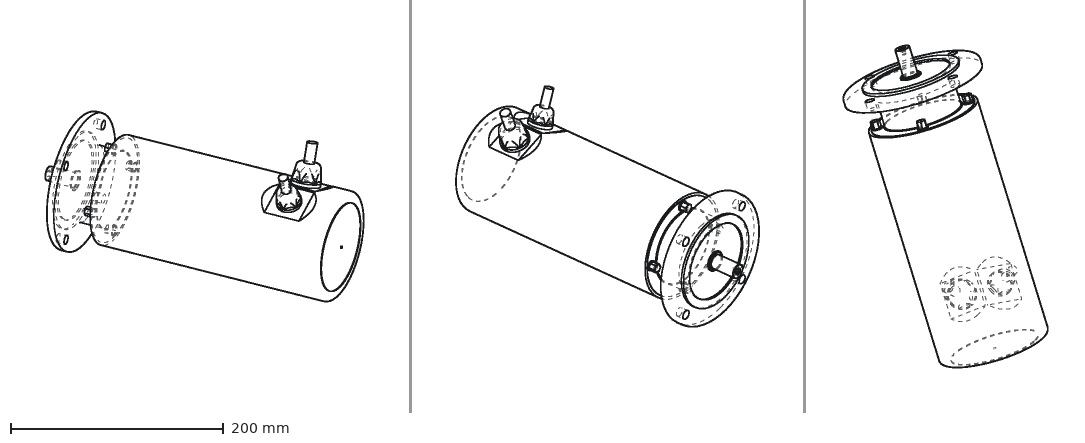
import cadquery as cq
import math

spigot_face = 27.0
spigot_height = 2.6
flange_face = spigot_face + spigot_height
flange_back = 38.0
cover_face = 69.0
housing_face = 69.2
housing_rear = 304.5
rear_disc_thickness = 0.75
rear_disc_rear = housing_rear + rear_disc_thickness
rear_tip_end = 306.0

shaft_diameter = 14.0
spigot_diameter = 95.0
flange_diameter = 135.0
neck_diameter = 75.0
collar_diameter = 77.0
cover_diameter = 101.5
housing_diameter = 107.0
rear_disc_diameter = 85.7
rear_tip_diameter = 1.8

shaft_chamfer = 0.3
flange_fillet = 2.9
neck_fillet = 6.0
rear_fillet = 3.0
collar_length = 0.5

spigot_recess_diameter = 77.0
spigot_recess_depth = 1.8
shaft_boss_diameter = 20.0
shaft_boss_chamfer = 1.0
thread_diameter = 4.5
thread_depth = 3.0
centre_hole_diameter = 3.5
centre_hole_depth = 6.0
countersink_diameter = 6.5
countersink_depth = 1.0

mounting_hole_diameter = 9.0
mounting_circle_diameter = 115.0
screw_circle_diameter = 90.0
screw_count = 4
screw_head_flats = 7.5
screw_head_length = 7.0
washer_diameter = 10.0
washer_thickness = 1.0

gland_x = 259.8
gland_tilt = 20.8
seat_height = 50.5
seat_length = 36.0
seat_ramp_angle = 20.0

gland_base_height = 3.5
hexagon_flat_ratio = math.cos(math.radians(30))


def disc(start, end, diameter):
    """Round plate on the motor axis between two X positions."""
    return cq.Workplane("YZ", origin=(start, 0, 0)).circle(diameter / 2).extrude(end - start)


def make_flange():
    flange = disc(flange_face, flange_back, flange_diameter).faces("<X").edges().fillet(flange_fillet)
    mounting_holes = (
        cq.Workplane("YZ", origin=(flange_face, 0, 0))
        .polarArray(mounting_circle_diameter / 2, 45, 360, 4)
        .circle(mounting_hole_diameter / 2)
        .extrude(flange_back - flange_face)
    )
    return flange.cut(mounting_holes)


def make_neck():
    """Neck behind the flange, flared into the flange by a concave fillet."""
    radius = neck_diameter / 2
    diagonal = neck_fillet * (1 - math.sqrt(0.5))
    return (
        cq.Workplane("XY")
        .moveTo(flange_back, 0)
        .lineTo(flange_back, radius + neck_fillet)
        .threePointArc(
            (flange_back + diagonal, radius + diagonal),
            (flange_back + neck_fillet, radius),
        )
        .lineTo(cover_face, radius)
        .lineTo(cover_face, 0)
        .close()
        .revolve(360, (0, 0, 0), (1, 0, 0))
    )


def make_shaft():
    shaft = disc(0, flange_back, shaft_diameter).faces("<X").edges().chamfer(shaft_chamfer)
    countersink = cq.Workplane(
        cq.Solid.makeCone(
            countersink_diameter / 2,
            thread_diameter / 2,
            countersink_depth,
            cq.Vector(0, 0, 0),
            cq.Vector(1, 0, 0),
        )
    )
    return (
        shaft.cut(countersink)
        .cut(disc(0, thread_depth, thread_diameter))
        .cut(disc(0, centre_hole_depth, centre_hole_diameter))
    )


def make_screw():
    """Hexagon head screw with a washer, on the motor axis in front of the cover."""
    washer_face = cover_face - washer_thickness
    washer = disc(washer_face, cover_face, washer_diameter)
    head = (
        cq.Workplane("YZ", origin=(washer_face - screw_head_length, 0, 0))
        .polygon(6, screw_head_flats, circumscribed=True)
        .extrude(screw_head_length)
    )
    return head.union(washer)


def make_seat_cutter(side):
    """Flat-bottomed pocket with ramped ends, tilted to one side of the housing."""
    rise = housing_diameter / 2 - seat_height
    ramp_length = rise / math.tan(math.radians(seat_ramp_angle))
    half_floor = seat_length / 2
    half_mouth = half_floor + ramp_length
    cutter = (
        cq.Workplane("XZ")
        .polyline(
            [
                (gland_x - half_floor, seat_height),
                (gland_x + half_floor, seat_height),
                (gland_x + half_mouth, seat_height + rise),
                (gland_x - half_mouth, seat_height + rise),
            ]
        )
        .close()
        .extrude(housing_diameter / 2, both=True)
    )
    return cutter.rotate((0, 0, 0), (1, 0, 0), -side * gland_tilt)


def make_motor():
    housing = disc(housing_face, housing_rear, housing_diameter).faces(">X").edges().fillet(rear_fillet)
    for side in (1, -1):
        housing = housing.cut(make_seat_cutter(side))

    spigot = disc(spigot_face, flange_back, spigot_diameter)
    motor = make_flange().union(spigot)
    motor = motor.cut(disc(spigot_face, spigot_face + spigot_recess_depth, spigot_recess_diameter))
    shaft_boss = disc(spigot_face, flange_face, shaft_boss_diameter)
    shaft_boss = shaft_boss.faces("<X").edges().chamfer(shaft_boss_chamfer)

    motor = (
        motor.union(shaft_boss)
        .union(make_shaft())
        .union(make_neck())
        .union(disc(cover_face - collar_length, cover_face, collar_diameter))
        .union(disc(cover_face, housing_face, cover_diameter))
        .union(housing)
        .union(disc(housing_rear, rear_disc_rear, rear_disc_diameter))
        .union(disc(rear_disc_rear, rear_tip_end, rear_tip_diameter))
    )
    screw = make_screw().translate((0, 0, screw_circle_diameter / 2))
    for i in range(screw_count):
        motor = motor.union(screw.rotate((0, 0, 0), (1, 0, 0), i * 360 / screw_count))
    return motor


def make_gland(side, base_diameter, rim_diameter, top_height, rim_fillet,
               cable_diameter, cable_end):
    """Tapered hexagonal cable gland with its cable; heights are distances from the motor axis."""
    base_radius = base_diameter / 2
    rim_radius = rim_diameter / 2
    ledge_height = seat_height + gland_base_height
    arc_offset = rim_fillet * (1 - math.sqrt(0.5))
    body = (
        cq.Workplane("XZ")
        .moveTo(0, seat_height)
        .lineTo(base_radius, seat_height)
        .lineTo(base_radius, ledge_height)
        .lineTo(rim_radius, top_height - rim_fillet)
        .threePointArc(
            (rim_radius - arc_offset, top_height - arc_offset),
            (rim_radius - rim_fillet, top_height),
        )
        .lineTo(0, top_height)
        .close()
        .revolve(360, (0, 0, 0), (0, 1, 0))
    )

    wrench_zone = cq.Workplane("XY", origin=(0, 0, ledge_height)).circle(base_diameter)
    outside_hexagon = (
        wrench_zone.extrude(top_height - ledge_height)
        .cut(
            cq.Workplane("XY", origin=(0, 0, ledge_height))
            .polygon(6, base_diameter * hexagon_flat_ratio, circumscribed=True)
            .extrude(top_height - ledge_height)
        )
    )
    ledge_cone = cq.Workplane(
        cq.Solid.makeCone(base_radius, 0, base_radius, cq.Vector(0, 0, ledge_height), cq.Vector(0, 0, 1))
    )
    cable = (
        cq.Workplane("XY", origin=(0, 0, top_height))
        .circle(cable_diameter / 2)
        .extrude(cable_end - top_height)
    )
    return (
        body.cut(outside_hexagon.cut(ledge_cone))
        .union(cable)
        .rotate((0, 0, 0), (1, 0, 0), -side * gland_tilt)
        .translate((gland_x, 0, 0))
    )


motor = make_motor()
large_gland = make_gland(
    side=1,
    base_diameter=28.5,
    rim_diameter=24.0,
    top_height=71.5,
    rim_fillet=4.0,
    cable_diameter=10.0,
    cable_end=91.5,
)
small_gland = make_gland(
    side=-1,
    base_diameter=24.0,
    rim_diameter=20.0,
    top_height=68.5,
    rim_fillet=4.0,
    cable_diameter=9.0,
    cable_end=88.0,
)

result = cq.Compound.makeCompound([motor.val(), large_gland.val(), small_gland.val()])